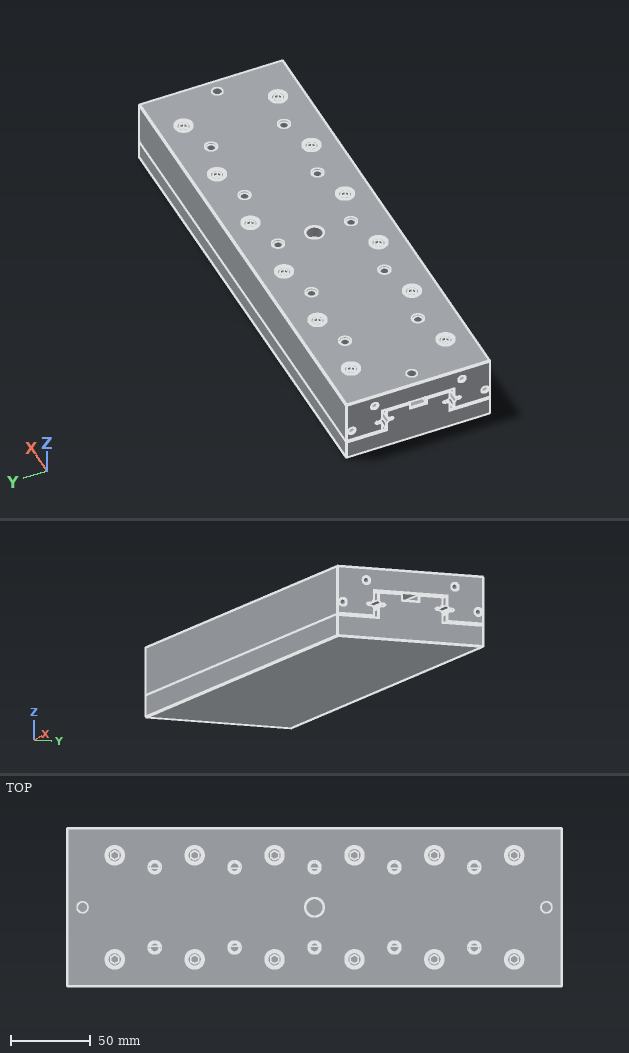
import cadquery as cq

LENGTH = 310.0
WIDTH = 99.5
HEIGHT = 45.0
EDGE_CHAMFER = 0.68

BASE_TOP = 14.0
RUNNING_GAP = 0.3
TABLE_BOTTOM = BASE_TOP + RUNNING_GAP
CHANNEL_HALF_WIDTH = 24.5
CHANNEL_CEILING = 30.5
RAIL_HALF_WIDTH = 22.0
RAIL_TOP = CHANNEL_CEILING - RUNNING_GAP

CABLE_GROOVE_WIDTH = 11.0
CABLE_GROOVE_DEPTH = 4.0

GROOVE_Z = 22.0
GROOVE_MOUTH_HALF = 2.8
GROOVE_DEPTH = 5.0
RELIEF_HALF = 1.0

ROW_COUNT = 6
ROW_SPAN = 250.0
ROW_PITCH = ROW_SPAN / (ROW_COUNT - 1)
SCREW_Y = 32.5
COUNTERBORE_DIAMETER = 11.0
COUNTERBORE_DEPTH = 6.5
COUNTERBORE_CHAMFER = 0.45
HEAD_DIAMETER = 10.0
HEAD_RECESS = 0.5
HEAD_CHAMFER = 0.5
SOCKET_SIDES = 6
SOCKET_FLATS = 5.0
SOCKET_DEPTH = 3.0

TAP_Y = 25.0
TAP_DIAMETER = 6.0
TAP_DEPTH = 15.5
TAP_CHAMFER = 1.1

DOWEL_X = 145.0
DOWEL_DIAMETER = 6.8
DOWEL_DEPTH = 9.3
BORE_DIAMETER = 11.2
BORE_DEPTH = 9.3
BORE_CHAMFER = 0.45

END_HOLE_DIAMETER = 4.0
END_HOLE_DEPTH = 10.0
END_HOLE_CHAMFER = 0.5
END_HOLE_PLACES = [(30.0, 37.0), (46.0, 22.0)]
END_HOLE_TIP = 1.2


SIDES = (-1, 1)
SCREW_X = [(i - (ROW_COUNT - 1) / 2) * ROW_PITCH for i in range(ROW_COUNT)]
TAP_X = [x + ROW_PITCH / 2 for x in SCREW_X[:-1]]


def bar(half_width, bottom, top):
    """Full-length bar centred on the Y = 0 plane."""
    return (
        cq.Workplane("XY", origin=(0, 0, bottom))
        .rect(LENGTH, 2 * half_width)
        .extrude(top - bottom)
    )


def hole(diameter, depth, chamfer=0.0, tip_height=0.0):
    """Blind hole below Z = 0 on the Z axis, with an optional mouth chamfer and conical tip."""
    radius = diameter / 2
    profile = cq.Workplane("XZ").lineTo(radius + chamfer, 0)
    if chamfer:
        profile = profile.lineTo(radius, -chamfer)
    profile = profile.lineTo(radius, -depth).lineTo(0, -depth - tip_height).close()
    return profile.revolve(360, (0, 0, 0), (0, 1, 0))


def roller_groove(wall, inward):
    """Full-length groove in the wall at Y = wall: a tapered mouth, then a pointed relief slot."""
    bend = wall + inward * (GROOVE_MOUTH_HALF - RELIEF_HALF)
    end = wall + inward * (GROOVE_DEPTH - RELIEF_HALF)
    tip = wall + inward * GROOVE_DEPTH
    return (
        cq.Workplane("YZ", origin=(-LENGTH / 2, 0, GROOVE_Z))
        .moveTo(wall, -GROOVE_MOUTH_HALF)
        .lineTo(bend, -RELIEF_HALF)
        .lineTo(end, -RELIEF_HALF)
        .lineTo(tip, 0)
        .lineTo(end, RELIEF_HALF)
        .lineTo(bend, RELIEF_HALF)
        .lineTo(wall, GROOVE_MOUTH_HALF)
        .close()
        .extrude(LENGTH)
    )


def screw_recess():
    """Space left around a screw head below Z = 0: the ring gap, the head chamfer and the socket."""
    head = (
        cq.Workplane("XY", origin=(0, 0, -COUNTERBORE_DEPTH))
        .circle(HEAD_DIAMETER / 2)
        .extrude(COUNTERBORE_DEPTH - HEAD_RECESS)
        .faces(">Z")
        .chamfer(HEAD_CHAMFER)
    )
    socket = (
        cq.Workplane("XY", origin=(0, 0, -HEAD_RECESS))
        .polygon(SOCKET_SIDES, SOCKET_FLATS, circumscribed=True)
        .extrude(-SOCKET_DEPTH)
    )
    counterbore = hole(COUNTERBORE_DIAMETER, COUNTERBORE_DEPTH, COUNTERBORE_CHAMFER)
    return counterbore.cut(head.cut(socket))


def cut_screw_recesses(table):
    recess = screw_recess()
    for x in SCREW_X:
        for side in SIDES:
            table = table.cut(recess.translate((x, side * SCREW_Y, HEIGHT)))
    return table


def cut_tapped_holes(table):
    tapped = hole(TAP_DIAMETER, TAP_DEPTH, TAP_CHAMFER)
    for x in TAP_X:
        for side in SIDES:
            table = table.cut(tapped.translate((x, side * TAP_Y, HEIGHT)))
    return table


def cut_centre_line_holes(table):
    table = table.cut(hole(BORE_DIAMETER, BORE_DEPTH, BORE_CHAMFER).translate((0, 0, HEIGHT)))
    dowel = hole(DOWEL_DIAMETER, DOWEL_DEPTH)
    for end in SIDES:
        table = table.cut(dowel.translate((end * DOWEL_X, 0, HEIGHT)))
    return table


def cut_end_holes(table):
    upright = hole(END_HOLE_DIAMETER, END_HOLE_DEPTH, END_HOLE_CHAMFER, END_HOLE_TIP)
    for end in SIDES:
        end_hole = upright.rotate((0, 0, 0), (0, 1, 0), end * 90)
        for y, z in END_HOLE_PLACES:
            for side in SIDES:
                table = table.cut(end_hole.translate((end * LENGTH / 2, side * y, z)))
    return table


def make_base():
    """Base plate with a central rail, grooved on its crest and on both sides."""
    base = bar(WIDTH / 2, 0, BASE_TOP).edges("|X and <Z").chamfer(EDGE_CHAMFER)
    base = base.union(bar(RAIL_HALF_WIDTH, BASE_TOP, RAIL_TOP))
    base = base.cut(bar(CABLE_GROOVE_WIDTH / 2, RAIL_TOP - CABLE_GROOVE_DEPTH, RAIL_TOP))
    base = base.faces("<X or >X").chamfer(EDGE_CHAMFER)
    for side in SIDES:
        base = base.cut(roller_groove(side * RAIL_HALF_WIDTH, -side))
    return base


def make_table():
    """Channel-shaped table that straddles the rail, with its screw heads as part of the body."""
    table = bar(WIDTH / 2, TABLE_BOTTOM, HEIGHT).edges("|X and >Z").chamfer(EDGE_CHAMFER)
    table = table.cut(bar(CHANNEL_HALF_WIDTH, TABLE_BOTTOM, CHANNEL_CEILING))
    table = table.faces("<X or >X").chamfer(EDGE_CHAMFER)
    for side in SIDES:
        table = table.cut(roller_groove(side * CHANNEL_HALF_WIDTH, side))
    table = cut_screw_recesses(table)
    table = cut_tapped_holes(table)
    table = cut_centre_line_holes(table)
    return cut_end_holes(table)


base = make_base()
table = make_table()
result = cq.Compound.makeCompound([base.solids().val(), table.solids().val()])